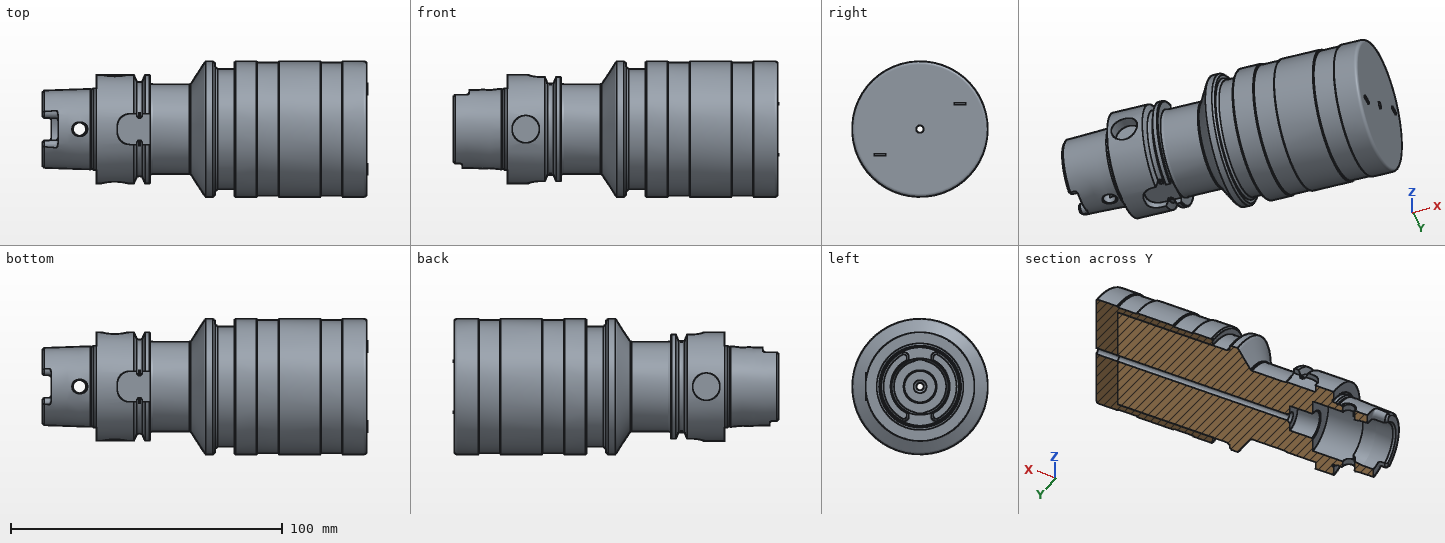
import cadquery as cq
import math

LARGEST_DIAMETER = 50.0
OUTER_R = LARGEST_DIAMETER / 2
EPS = 0.2

NOSE_R = 14.3
NOSE_CHAMFER = 0.8
TAPER_END_R = 14.9
TAPER_END_X = 17.7
RELIEF_R = 14.6
RELIEF_X = 18.3
LAND_R = 15.1
LAND_X = 19.1

FLANGE_R = 20.0
FLANGE_X = 20.0
FLANGE_END_X = 39.8
FLANGE_EDGE = 0.4
FACE_RECESS_R = 16.0
FACE_RECESS_DEPTH = 0.5
GROOVE_FLOOR_R = 17.4
GROOVE_X1 = 33.8
GROOVE_X2 = 37.9
GROOVE_WALL_RUN = 1.1
GROOVE_EASE_RUN = 0.6
GROOVE_EASE_RISE = 0.18

NECK_R = 16.5
NECK_EDGE_R = 16.8
NECK_X1 = 40.9
NECK_X2 = 54.2
SHOULDER_X1 = 54.8
SHOULDER_X2 = 59.6
SHOULDER_CONE_R = 24.2
COLLAR_X1 = 60.3
COLLAR_X2 = 62.8
COLLAR_END_X = 63.7
COLLAR_END_R = 24.2
COLLAR_FOOT_R = 23.0
SPIGOT_X = 64.6
SPIGOT_R = 22.2

SLEEVE_X1 = 70.6
SLEEVE_X2 = 119.5
SLEEVE_CHAMFER = 0.6
SLEEVE_ROUND = 1.2
BAND_R = 24.6
BANDS = [(78.9, 87.3), (102.3, 110.7)]
BAND_EDGE = 0.4
END_WALL = 8.9
SPIGOT_END_X = SLEEVE_X2 - END_WALL

BAR_LENGTH = 4.2
BAR_WIDTH = 0.7
BAR_HEIGHT = 0.4
BAR_Y = 14.7
BAR_Z = 9.4

BORE_MOUTH_R = 10.9
BORE_MOUTH_DEPTH = 1.0
BORE_R = 10.4
BORE_CONE_X1 = 8.0
BORE_CONE_X2 = 13.1
BORE_INNER_R = 9.6
BORE_UNDERCUT_R = 11.8
BORE_DEPTH = 28.8
SOCKET_R = 5.8
SOCKET_CHAMFER = 0.4
SOCKET_DEPTH = 9.6
COOLANT_R = 1.3
COUNTERSINK_R = 2.4

DRIVE_HALF_WIDTH = 4.1
DRIVE_FLAT_Z = 12.7
DRIVE_ROUND = 1.9
DRIVE_REACH = 16.8
DRIVE_CHAMFER = 0.8
DRIVE_FLOOR_FILLET = 0.8
DRIVE_TOP_DEPTH = 5.9
DRIVE_BOTTOM_DEPTH = 3.4

CROSS_X = 13.8
CROSS_R = 2.4
CROSS_SINK_R = 2.9
CROSS_SINK_DEPTH = 0.5

KEY_HALF_WIDTH = 5.6
KEY_X = 27.7
KEY_FLOOR_Z = 16.9
KEY_CORNER_R = 4.5

CHIP_X = 26.7
CHIP_R = 5.0
CHIP_DEPTH = 5.0


def turned(points):
    """Solid of revolution about X from (x, radius) points, closed along the axis."""
    return (
        cq.Workplane("XY")
        .moveTo(points[0][0], 0)
        .polyline(points, includeCurrent=True)
        .lineTo(points[-1][0], 0)
        .close()
        .revolve(360, (0, 0, 0), (1, 0, 0))
    )


def turned_blank():
    """Outside of the holder from the nose to the end of the hidden spigot."""
    floor_x1 = GROOVE_X1 + GROOVE_WALL_RUN
    floor_x2 = GROOVE_X2 - GROOVE_WALL_RUN
    return turned([
        (0, NOSE_R - NOSE_CHAMFER),
        (NOSE_CHAMFER, NOSE_R),
        (TAPER_END_X, TAPER_END_R),
        (RELIEF_X, RELIEF_R),
        (LAND_X, LAND_R),
        (FLANGE_X + FACE_RECESS_DEPTH, LAND_R),
        (FLANGE_X + FACE_RECESS_DEPTH, FACE_RECESS_R),
        (FLANGE_X, FACE_RECESS_R),
        (FLANGE_X, FLANGE_R),
        (GROOVE_X1, FLANGE_R),
        (floor_x1, GROOVE_FLOOR_R + GROOVE_EASE_RISE),
        (floor_x1 + GROOVE_EASE_RUN, GROOVE_FLOOR_R),
        (floor_x2 - GROOVE_EASE_RUN, GROOVE_FLOOR_R),
        (floor_x2, GROOVE_FLOOR_R + GROOVE_EASE_RISE),
        (GROOVE_X2, FLANGE_R),
        (FLANGE_END_X - FLANGE_EDGE, FLANGE_R),
        (FLANGE_END_X, FLANGE_R - FLANGE_EDGE),
        (FLANGE_END_X, NECK_EDGE_R),
        (NECK_X1, NECK_R),
        (NECK_X2, NECK_R),
        (SHOULDER_X1, NECK_EDGE_R),
        (SHOULDER_X2, SHOULDER_CONE_R),
        (COLLAR_X1, OUTER_R),
        (COLLAR_X2, OUTER_R),
        (COLLAR_END_X, COLLAR_END_R),
        (COLLAR_END_X, COLLAR_FOOT_R),
        (SPIGOT_X, SPIGOT_R),
        (SPIGOT_END_X, SPIGOT_R),
    ])


def bore_tool():
    """Narrowing bore with an undercut, the coolant tube socket and the through hole."""
    socket_end = BORE_DEPTH + SOCKET_DEPTH
    return turned([
        (0, BORE_MOUTH_R),
        (BORE_MOUTH_DEPTH, BORE_R),
        (BORE_CONE_X1, BORE_R),
        (BORE_CONE_X2, BORE_INNER_R),
        (BORE_CONE_X2, BORE_UNDERCUT_R),
        (BORE_DEPTH, BORE_UNDERCUT_R),
        (BORE_DEPTH, SOCKET_R + SOCKET_CHAMFER),
        (BORE_DEPTH + SOCKET_CHAMFER, SOCKET_R),
        (socket_end, SOCKET_R),
        (socket_end, COUNTERSINK_R),
        (socket_end + COUNTERSINK_R - COOLANT_R, COOLANT_R),
        (SLEEVE_X2 + EPS, COOLANT_R),
    ])


def drive_profile(plane, grow):
    """Slot cross-section, offset outwards by grow; it flares over the flat tang tops."""
    wall = DRIVE_HALF_WIDTH + grow
    flat = DRIVE_FLAT_Z - grow
    r = DRIVE_ROUND - grow
    bend = r * (1 - math.sqrt(0.5))
    return (
        plane
        .moveTo(-wall, 0)
        .lineTo(-wall, flat - r)
        .threePointArc((-wall - bend, flat - bend), (-wall - r, flat))
        .lineTo(-DRIVE_REACH, flat)
        .lineTo(-DRIVE_REACH, DRIVE_REACH)
        .lineTo(DRIVE_REACH, DRIVE_REACH)
        .lineTo(DRIVE_REACH, flat)
        .lineTo(wall + r, flat)
        .threePointArc((wall + bend, flat - bend), (wall, flat - r))
        .lineTo(wall, 0)
        .close()
    )


def drive_slot(depth, side):
    """Slot between the tangs, chamfered at its mouth and filleted at its floor."""
    slot = drive_profile(cq.Workplane("YZ"), 0).extrude(depth)
    slot = slot.faces(">X").edges().fillet(DRIVE_FLOOR_FILLET)
    mouth = drive_profile(cq.Workplane("YZ"), DRIVE_CHAMFER)
    mouth = drive_profile(mouth.workplane(offset=DRIVE_CHAMFER, origin=(0, 0, 0)), 0)
    slot = slot.union(mouth.loft(ruled=True))
    return slot.rotate((0, 0, 0), (1, 0, 0), 0 if side > 0 else 180)


def cross_hole(side):
    """Countersunk hole through one wall of the shank, along Z."""
    wall_r = NOSE_R + (TAPER_END_R - NOSE_R) * CROSS_X / TAPER_END_X
    sink_slope = (CROSS_SINK_R - CROSS_R) / CROSS_SINK_DEPTH
    sink_floor = wall_r - CROSS_SINK_DEPTH
    top = wall_r + EPS
    return (
        cq.Workplane("XZ")
        .polyline([
            (0, 0),
            (CROSS_R, 0),
            (CROSS_R, sink_floor),
            (CROSS_R + sink_slope * (top - sink_floor), top),
            (0, top),
        ])
        .close()
        .revolve(360, (0, 0, 0), (0, 1, 0))
        .rotate((0, 0, 0), (1, 0, 0), 0 if side > 0 else 180)
        .translate((CROSS_X, 0, 0))
    )


def keyway(side):
    """Flat-floored keyway, open towards the neck, with round corners at its closed end."""
    length = FLANGE_END_X - KEY_X
    height = FLANGE_R - KEY_FLOOR_Z + EPS
    return (
        cq.Workplane("XY")
        .box(length, 2 * KEY_HALF_WIDTH, height, centered=(False, True, False))
        .edges("|Z and <X")
        .fillet(KEY_CORNER_R)
        .translate((KEY_X, 0, KEY_FLOOR_Z))
        .rotate((0, 0, 0), (1, 0, 0), 0 if side > 0 else 180)
    )


def chip_cylinder(side):
    """Cylinder along Y that fills a chip pocket out to the flange radius."""
    floor = FLANGE_R - CHIP_DEPTH
    return (
        cq.Workplane("XZ", origin=(CHIP_X, side * floor, 0))
        .circle(CHIP_R)
        .extrude(-side * CHIP_DEPTH)
    )


def make_holder():
    """Tool holder from the hollow taper shank to the spigot inside the sleeve."""
    body = turned_blank().cut(bore_tool())
    body = body.cut(drive_slot(DRIVE_TOP_DEPTH, 1))
    body = body.cut(drive_slot(DRIVE_BOTTOM_DEPTH, -1))
    for side in (1, -1):
        body = body.cut(cross_hole(side))
        body = body.cut(keyway(side))
        body = body.cut(chip_cylinder(side))
    return body


def make_chip_plug():
    """Plug that fills the chip pocket on the +Y side."""
    return chip_cylinder(1)


def make_sleeve():
    """Banded cup over the spigot, with two raised bars on its closed end."""
    outline = [
        (SLEEVE_X1, OUTER_R - SLEEVE_CHAMFER),
        (SLEEVE_X1 + SLEEVE_CHAMFER, OUTER_R),
    ]
    for start, end in BANDS:
        outline += [
            (start, OUTER_R),
            (start + BAND_EDGE, BAND_R),
            (end - BAND_EDGE, BAND_R),
            (end, OUTER_R),
        ]
    outline.append((SLEEVE_X2, OUTER_R))
    body = turned(outline).faces(">X").edges().fillet(SLEEVE_ROUND)

    for side in (1, -1):
        bar = (
            cq.Workplane("XY")
            .box(BAR_HEIGHT + EPS, BAR_LENGTH, BAR_WIDTH, centered=(False, True, True))
            .translate((SLEEVE_X2 - EPS, side * BAR_Y, side * BAR_Z))
        )
        body = body.union(bar)

    body = body.cut(turned([(SLEEVE_X1, SPIGOT_R), (SPIGOT_END_X, SPIGOT_R)]))
    return body.cut(turned([(SPIGOT_END_X, COOLANT_R), (SLEEVE_X2, COOLANT_R)]))


holder = make_holder()
chip_plug = make_chip_plug()
sleeve = make_sleeve()

result = cq.Compound.makeCompound([
    holder.solids().val(),
    chip_plug.solids().val(),
    sleeve.solids().val(),
])